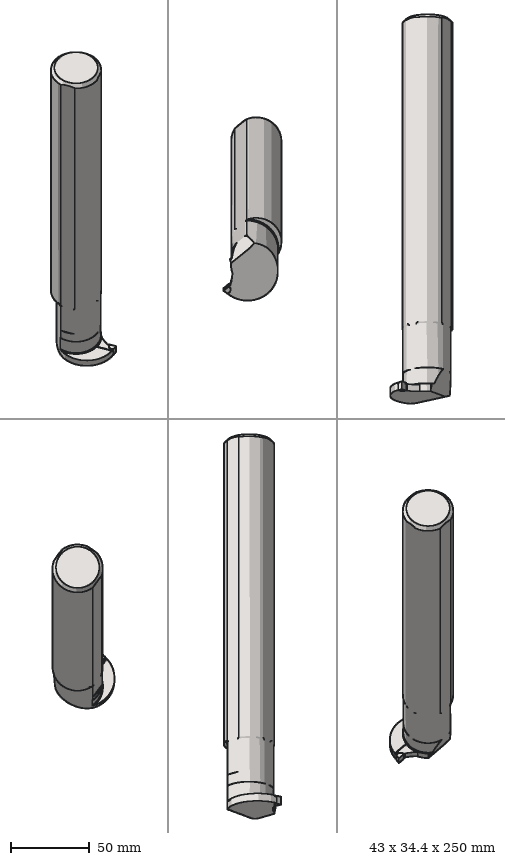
import cadquery as cq
import math

total_height = 250.0
shank_radius = 16.0
shank_bottom = 46.5
flat_offset = 15.2
right_flat_offset = 15.5
top_chamfer = 2.2
front_flat_bottom = 23.2

neck_radius = 15.8
neck_cone_height = 1.0
foot_step = 0.12
foot_radius = neck_radius - foot_step
foot_top = 16.0
foot_flare = 0.5
shoulder_height = 1.5
shoulder_flare = 0.5

disc_center_x = 7.2
disc_radius = 19.2
disc_bottom = 0.2
disc_top = 5.2
heel_radius = 15.0
heel_tangent_x = -1.5

gullet_end_x = 21.2
gullet_middle = (17.0, 3.5)
gullet_start = (11.5, 11.0)
land_front = -4.2
land_height = 4.8
relief_top = 16.0
relief_depth = 4.0

tip_left = 22.5
tip_right = 27.0
tip_front = -3.0
tip_back = 0.2
tip_corner = 1.5
tip_side_relief = 0.8

clearance = 50.0


def box_between(x0, x1, y0, y1, z0, z1):
    """Box given by its limits along each axis."""
    return cq.Workplane("XY").box(x1 - x0, y1 - y0, z1 - z0, centered=False).translate((x0, y0, z0))


def make_shank():
    cylinder = cq.Workplane("XY").workplane(offset=shank_bottom)
    cylinder = cylinder.circle(shank_radius).extrude(total_height - shank_bottom)
    return cylinder.faces(">Z").chamfer(top_chamfer)


def make_neck():
    """Stepped round neck, trimmed to the outline of the offset disc."""
    profile = [
        (0, disc_bottom),
        (foot_radius + foot_flare, disc_bottom),
        (foot_radius + foot_flare, disc_top),
        (foot_radius, disc_top + foot_flare),
        (foot_radius, foot_top),
        (neck_radius, foot_top + foot_step),
        (neck_radius, shank_bottom - neck_cone_height),
        (shank_radius, shank_bottom),
        (0, shank_bottom),
    ]
    neck = cq.Workplane("XZ").polyline(profile).close().revolve(360, (0, 0), (0, 1))
    outline = cq.Workplane("XY").center(disc_center_x, 0).circle(disc_radius).extrude(shank_bottom)
    shoulder = cq.Solid.makeCone(
        disc_radius,
        disc_radius + shoulder_flare,
        shoulder_height,
        pnt=cq.Vector(disc_center_x, 0, shank_bottom - shoulder_height),
    )
    return neck.intersect(outline.union(cq.Workplane(obj=shoulder)))


def make_disc():
    """Disc with the concave gullet that frees the back of the cutting edge."""
    disc = cq.Workplane("XY").workplane(offset=disc_bottom).center(disc_center_x, 0)
    disc = disc.circle(disc_radius).extrude(disc_top - disc_bottom)
    gullet = (
        cq.Workplane("XY")
        .moveTo(clearance, tip_back)
        .lineTo(gullet_end_x, tip_back)
        .threePointArc(gullet_middle, gullet_start)
        .lineTo(gullet_start[0], clearance)
        .lineTo(clearance, clearance)
        .close()
        .extrude(disc_top)
    )
    land = box_between(right_flat_offset, clearance, land_front, clearance, land_height, disc_top)
    return disc.cut(gullet).cut(land)


def cut_flats(body):
    """Flats on the +Y and -Y sides, and on the +X side above the disc."""
    right = box_between(right_flat_offset, clearance, -clearance, clearance, disc_top, total_height)
    back = box_between(-clearance, clearance, flat_offset, clearance, 0, total_height)
    front = box_between(-clearance, clearance, -clearance, -flat_offset, front_flat_bottom, total_height)
    return body.cut(right).cut(back).cut(front)


def cut_heel(body):
    """Round the lower -X side with an arc tangent to the underside."""
    diagonal = heel_radius * math.sqrt(0.5)
    center_z = disc_bottom + heel_radius
    waste = (
        cq.Workplane("XZ", origin=(0, clearance, 0))
        .moveTo(heel_tangent_x, disc_bottom)
        .threePointArc(
            (heel_tangent_x - diagonal, center_z - diagonal),
            (heel_tangent_x - heel_radius, center_z),
        )
        .lineTo(heel_tangent_x - heel_radius, disc_bottom)
        .close()
        .extrude(2 * clearance)
    )
    return body.cut(waste)


def cut_back_relief(body):
    """Sloped plane that leans the lower +Y side inward."""
    waste = (
        cq.Workplane("YZ", origin=(-clearance, 0, 0))
        .polyline([
            (flat_offset, relief_top),
            (flat_offset - relief_depth, disc_bottom),
            (clearance, disc_bottom),
            (clearance, relief_top),
        ])
        .close()
        .extrude(2 * clearance)
    )
    return body.cut(waste)


def make_tip():
    """Small tip set into the rim of the disc."""
    outline = [
        (tip_left, tip_back),
        (tip_left, tip_front + tip_corner),
        (tip_left + tip_corner, tip_front),
        (tip_right - tip_side_relief, tip_front),
        (tip_right, tip_back),
    ]
    return cq.Workplane("XY").polyline(outline).close().extrude(disc_top)


tip = make_tip()
holder = make_shank().union(make_neck()).union(make_disc())
holder = cut_flats(holder)
holder = cut_heel(holder)
holder = cut_back_relief(holder)

rim_opening = box_between(tip_right - tip_side_relief, clearance, tip_front, tip_back, 0, disc_top)
holder = holder.cut(tip).cut(rim_opening)

result = cq.Compound.makeCompound([holder.val(), tip.val()])